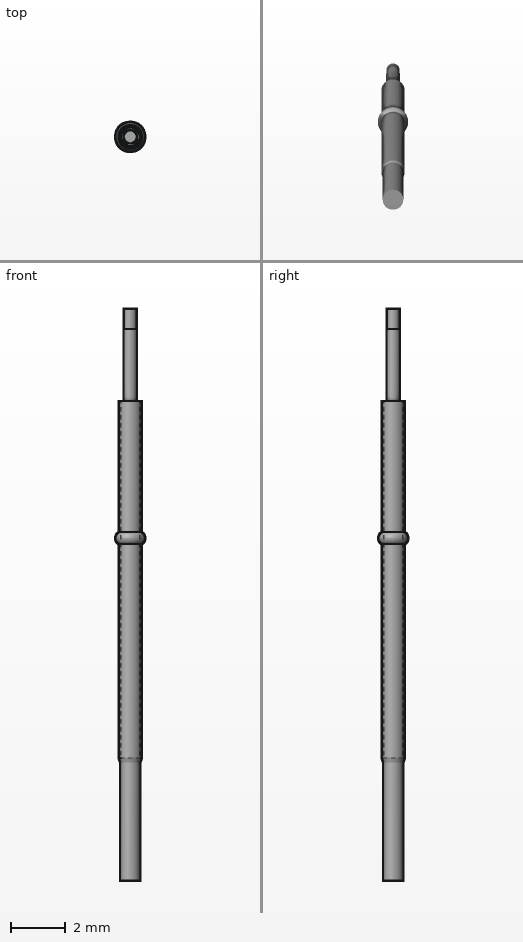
import cadquery as cq

total_length = 20.85

sleeve_radius = 0.85 / 2
sleeve_top = 17.5
collar_radius = 1.1 / 2
collar_height = 0.44
collar_middle = 12.49
tail_radius = 0.75 / 2
tail_length = 4.32
neck_height = 0.17
neck_top = tail_length + neck_height
bore_radius = 0.7 / 2

body_radius = 0.69 / 2
rod_radius = 0.5 / 2
tip_radius = 0.48 / 2
tip_length = 0.73


def cylinder(radius, bottom, top):
    """Upright cylinder on the Z axis between two heights."""
    return cq.Workplane("XY", origin=(0, 0, bottom)).circle(radius).extrude(top - bottom)


def make_receptacle():
    """Revolve the outer shape, then bore a blind hole from the sleeve top down to the neck."""
    collar_bottom = collar_middle - collar_height / 2
    collar_top = collar_middle + collar_height / 2
    bulge = collar_radius - sleeve_radius
    rim_radius = ((collar_height / 2) ** 2 + bulge**2) / (2 * bulge)
    rim_center = collar_radius - rim_radius
    quarter_rise = collar_height / 4
    quarter_radius = rim_center + (rim_radius**2 - quarter_rise**2) ** 0.5
    outer = (
        cq.Workplane("XZ")
        .lineTo(tail_radius, 0)
        .lineTo(tail_radius, tail_length)
        .lineTo(sleeve_radius, neck_top)
        .lineTo(sleeve_radius, collar_bottom)
        .threePointArc((quarter_radius, collar_middle - quarter_rise), (collar_radius, collar_middle))
        .threePointArc((quarter_radius, collar_middle + quarter_rise), (sleeve_radius, collar_top))
        .lineTo(sleeve_radius, sleeve_top)
        .lineTo(0, sleeve_top)
        .close()
        .revolve(360, (0, 0), (0, 1))
    )
    return outer.cut(cylinder(bore_radius, neck_top, sleeve_top))


def make_probe():
    """Body from the bore floor to the sleeve top, with a gap around it, then the rod and its tip."""
    tip_bottom = total_length - tip_length
    body = cylinder(body_radius, neck_top, sleeve_top)
    rod = cylinder(rod_radius, sleeve_top, tip_bottom)
    tip = cylinder(tip_radius, tip_bottom, total_length)
    return body.union(rod).union(tip)


receptacle = make_receptacle()
probe = make_probe()
result = cq.Compound.makeCompound([receptacle.val(), probe.val()])